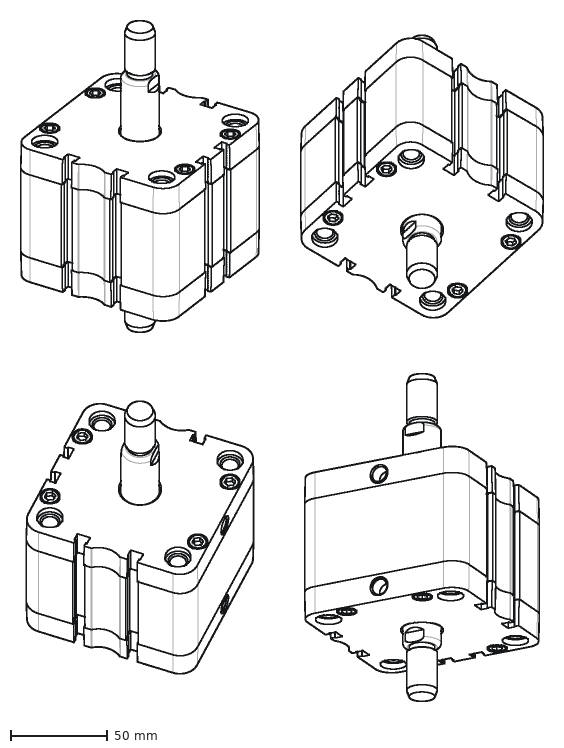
import cadquery as cq
import math

HOUSING_SIDE = 95.5
CORNER_RADIUS = 10.0
HOUSING_BOTTOM = 37.2
HOUSING_TOP = 116.0
CAP_HEIGHT = 14.8
CAP_INSET = 0.4
CAP_TAPER = math.degrees(math.atan2(CAP_INSET, CAP_HEIGHT))
TUBE_BOTTOM = HOUSING_BOTTOM + CAP_HEIGHT
TUBE_TOP = HOUSING_TOP - CAP_HEIGHT
HALF_SIDE = HOUSING_SIDE / 2

CHANNEL_RADIUS = 12.5
CHANNEL_DEPTH = 2.8
CHANNEL_EDGE_RADIUS = 0.9

CAP_SLOT_MOUTH = 5.7
CAP_SLOT_WIDTH = 7.1
TUBE_SLOT_MOUTH = 7.0
TUBE_SLOT_WIDTH = 8.4
SIDE_SLOT_OFFSET = 15.0
SIDE_SLOT_DEPTH = 7.0
SIDE_SLOT_LIP = 2.8
END_SLOT_OFFSET = 9.0
END_SLOT_DEPTH = 5.5
END_SLOT_LIP = 2.3

MOUNT_OFFSET = 36.0
MOUNT_BORE = 13.5
MOUNT_BORE_DEPTH = 3.2
MOUNT_HOLE = 8.5
MOUNT_CHAMFER = 0.9
SCREW_X = 41.5
SCREW_Y = 22.2
SCREW_RECESS = 10.3
SCREW_HEAD = 8.9
SCREW_GROOVE_DEPTH = 0.7
SOCKET_ACROSS_FLATS = 5.0
SOCKET_CORNERS = SOCKET_ACROSS_FLATS / math.cos(math.pi / 6)
SOCKET_DEPTH = 2.7
PORT_HOLE = 8.5
PORT_MOUTH = 10.3
PORT_DEPTH = 8.9
PORT_HEIGHT = 6.8
ROD_PASSAGE = 20.6
ROD_PASSAGE_MOUTH = 22.2

ROD_LENGTH = 178.0
ROD_DIAMETER = 20.0
THREAD_DIAMETER = 16.0
THREAD_LENGTH = 24.5
TIP_DIAMETER = 13.5
TIP_HEIGHT = 3.5
NECK_DIAMETER = 13.5
NECK_LENGTH = 3.2
NECK_TAPER = 0.7
SHOULDER_ROUND = 2.1
WRENCH_ACROSS_FLATS = 16.7
WRENCH_LENGTH = 5.9


def housing_outline():
    """Rounded square with a shallow arc channel in the middle of its -Y and +Y sides."""
    straight = HALF_SIDE - CORNER_RADIUS
    corner_mid = straight + CORNER_RADIUS * math.sqrt(0.5)
    channel_floor = HALF_SIDE - CHANNEL_DEPTH
    channel_centre = channel_floor + CHANNEL_RADIUS
    centre_distance = CHANNEL_RADIUS + CHANNEL_EDGE_RADIUS
    edge_centre = HALF_SIDE - CHANNEL_EDGE_RADIUS
    flat_end = math.sqrt(centre_distance**2 - (channel_centre - edge_centre) ** 2)
    blend = CHANNEL_RADIUS / centre_distance
    arc_end = flat_end * blend
    arc_end_y = channel_centre - (channel_centre - edge_centre) * blend
    return (
        cq.Workplane("XY")
        .moveTo(-straight, -HALF_SIDE)
        .lineTo(-flat_end, -HALF_SIDE)
        .radiusArc((-arc_end, -arc_end_y), -CHANNEL_EDGE_RADIUS)
        .threePointArc((0, -channel_floor), (arc_end, -arc_end_y))
        .radiusArc((flat_end, -HALF_SIDE), -CHANNEL_EDGE_RADIUS)
        .lineTo(straight, -HALF_SIDE)
        .threePointArc((corner_mid, -corner_mid), (HALF_SIDE, -straight))
        .lineTo(HALF_SIDE, straight)
        .threePointArc((corner_mid, corner_mid), (straight, HALF_SIDE))
        .lineTo(flat_end, HALF_SIDE)
        .radiusArc((arc_end, arc_end_y), -CHANNEL_EDGE_RADIUS)
        .threePointArc((0, channel_floor), (-arc_end, arc_end_y))
        .radiusArc((-flat_end, HALF_SIDE), -CHANNEL_EDGE_RADIUS)
        .lineTo(-straight, HALF_SIDE)
        .threePointArc((-corner_mid, corner_mid), (-HALF_SIDE, straight))
        .lineTo(-HALF_SIDE, -straight)
        .threePointArc((-corner_mid, -corner_mid), (-straight, -HALF_SIDE))
        .close()
    )


def slot_cutter(height, mouth, width, lip, depth):
    """Slot that opens through the +X side, centred on Y = 0."""
    mouth_part = cq.Workplane("XY").box(depth, mouth, height, centered=(False, True, False))
    inner_part = cq.Workplane("XY").box(depth - lip, width, height, centered=(False, True, False))
    return mouth_part.union(inner_part).translate((HALF_SIDE - depth, 0, 0))


def cut_slots(body, height, mouth, width):
    """Cut two slots in each of the -Y, +Y and +X sides."""
    end_slot = slot_cutter(height, mouth, width, END_SLOT_LIP, END_SLOT_DEPTH)
    side_slot = slot_cutter(height, mouth, width, SIDE_SLOT_LIP, SIDE_SLOT_DEPTH)
    for side in (-1, 1):
        body = body.cut(end_slot.translate((0, side * END_SLOT_OFFSET, 0)))
        for turn in (-90, 90):
            turned_slot = side_slot.rotate((0, 0, 0), (0, 0, 1), turn)
            body = body.cut(turned_slot.translate((side * SIDE_SLOT_OFFSET, 0, 0)))
    return body


def cone_cutter(start_diameter, end_diameter, start, direction):
    """45 degree countersink that narrows from its start along a direction."""
    depth = (start_diameter - end_diameter) / 2
    cone = cq.Solid.makeCone(
        start_diameter / 2, end_diameter / 2, depth, cq.Vector(*start), cq.Vector(*direction)
    )
    return cq.Workplane(cone)


def cut_mounting_holes(cap):
    """Counterbored and countersunk hole in each corner of the cap."""
    corners = [(x, y) for x in (-MOUNT_OFFSET, MOUNT_OFFSET) for y in (-MOUNT_OFFSET, MOUNT_OFFSET)]
    cap = (
        cap.faces(">Z").workplane(origin=(0, 0, CAP_HEIGHT))
        .pushPoints(corners)
        .cboreHole(MOUNT_HOLE, MOUNT_BORE, MOUNT_BORE_DEPTH)
    )
    for x, y in corners:
        start = (x, y, CAP_HEIGHT - MOUNT_BORE_DEPTH)
        cap = cap.cut(cone_cutter(MOUNT_HOLE + 2 * MOUNT_CHAMFER, MOUNT_HOLE, start, (0, 0, -1)))
    return cap


def cut_screw_heads(cap):
    """Ring groove around each flush screw head, and its hexagon socket."""
    places = [(x, y) for x in (-SCREW_X, SCREW_X) for y in (-SCREW_Y, SCREW_Y)]
    top = cq.Workplane("XY", origin=(0, 0, CAP_HEIGHT)).pushPoints(places)
    grooves = top.circle(SCREW_RECESS / 2).circle(SCREW_HEAD / 2).extrude(-SCREW_GROOVE_DEPTH)
    cap = cap.cut(grooves)
    for x, y in places:
        socket = (
            cq.Workplane("XY")
            .polygon(6, SOCKET_CORNERS)
            .extrude(-SOCKET_DEPTH)
            .rotate((0, 0, 0), (0, 0, 1), 30)
            .translate((x, y, CAP_HEIGHT))
        )
        cap = cap.cut(socket)
    return cap


def cut_port(cap):
    """Blind air port with a countersunk mouth in the -X side."""
    mouth_x = -HALF_SIDE + CAP_INSET * PORT_HEIGHT / CAP_HEIGHT
    hole = (
        cq.Workplane("YZ", origin=(-HALF_SIDE, 0, PORT_HEIGHT))
        .circle(PORT_HOLE / 2)
        .extrude(PORT_DEPTH)
    )
    return cap.cut(hole).cut(
        cone_cutter(PORT_MOUTH, PORT_HOLE, (mouth_x, 0, PORT_HEIGHT), (1, 0, 0))
    )


def cut_rod_passage(cap):
    """Clearance hole for the rod with a countersunk mouth at the outer face."""
    passage = cq.Workplane("XY").circle(ROD_PASSAGE / 2).extrude(CAP_HEIGHT)
    mouth = cone_cutter(ROD_PASSAGE_MOUTH, ROD_PASSAGE, (0, 0, CAP_HEIGHT), (0, 0, -1))
    return cap.cut(passage).cut(mouth)


def make_cap():
    """End cap that stands on Z = 0 and has its outer face up."""
    cap = housing_outline().extrude(CAP_HEIGHT, taper=CAP_TAPER)
    cap = cut_slots(cap, CAP_HEIGHT, CAP_SLOT_MOUTH, CAP_SLOT_WIDTH)
    cap = cut_mounting_holes(cap)
    cap = cut_screw_heads(cap)
    cap = cut_port(cap)
    return cut_rod_passage(cap)


def make_tube():
    """Slotted middle of the housing, pierced by the rod."""
    height = TUBE_TOP - TUBE_BOTTOM
    tube = housing_outline().extrude(height)
    tube = cut_slots(tube, height, TUBE_SLOT_MOUTH, TUBE_SLOT_WIDTH)
    bore = cq.Workplane("XY").circle(ROD_DIAMETER / 2).extrude(height)
    return tube.cut(bore).translate((0, 0, TUBE_BOTTOM))


def lower_rod_half():
    """Rod from its lower tip to the middle of its length."""
    shoulder_z = THREAD_LENGTH + NECK_LENGTH
    rod_radius = ROD_DIAMETER / 2
    half = (
        cq.Workplane("XZ")
        .moveTo(0, 0)
        .lineTo(TIP_DIAMETER / 2, 0)
        .lineTo(THREAD_DIAMETER / 2, TIP_HEIGHT)
        .lineTo(THREAD_DIAMETER / 2, THREAD_LENGTH)
        .lineTo(NECK_DIAMETER / 2, THREAD_LENGTH + NECK_TAPER)
        .lineTo(NECK_DIAMETER / 2, shoulder_z)
        .lineTo(rod_radius - SHOULDER_ROUND, shoulder_z)
        .radiusArc((rod_radius, shoulder_z + SHOULDER_ROUND), -SHOULDER_ROUND)
        .lineTo(rod_radius, ROD_LENGTH / 2)
        .lineTo(0, ROD_LENGTH / 2)
        .close()
        .revolve(360, (0, 0, 0), (0, 1, 0))
    )
    flat_x = WRENCH_ACROSS_FLATS / 2
    flat_top = shoulder_z + WRENCH_LENGTH
    flat_depth = rod_radius - flat_x
    flat = (
        cq.Workplane("XZ")
        .moveTo(flat_x, shoulder_z)
        .lineTo(rod_radius, shoulder_z)
        .lineTo(rod_radius, flat_top + flat_depth)
        .lineTo(flat_x, flat_top)
        .close()
        .extrude(rod_radius, both=True)
    )
    return half.cut(flat).cut(flat.mirror("YZ"))


def make_rod():
    """Through rod, the same at both ends."""
    half = lower_rod_half()
    return half.union(half.mirror("XY", (0, 0, ROD_LENGTH / 2))).clean()


cap = make_cap()
upper_cap = cap.translate((0, 0, TUBE_TOP))
lower_cap = cap.mirror("XY").translate((0, 0, TUBE_BOTTOM))
tube = make_tube()
rod = make_rod()

result = cq.Compound.makeCompound([upper_cap.val(), lower_cap.val(), tube.val(), rod.val()])